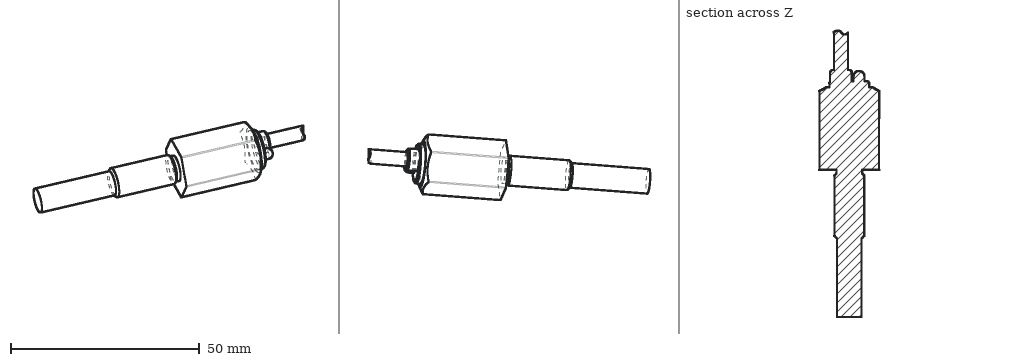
import cadquery as cq
import math

TOTAL_LENGTH = 75.95
TIP_Y = -TOTAL_LENGTH / 2
CABLE_END_Y = TOTAL_LENGTH / 2
THREAD_END_Y = -17.1
NUT_FRONT_Y = 1.1
NUT_BACK_Y = 23.0
FLANGE_BACK_Y = 24.6
COLLAR_BACK_Y = 27.6

ACROSS_FLATS = 14.0
CORNER_RADIUS = 0.4
NUT_FACE_DIAMETER = 12.3
NUT_CHAMFER_ANGLE = 30.0

PROBE_DIAMETER = 6.6
THREAD_DIAMETER = 8.0
NECK_DIAMETER = 7.0
NECK_LENGTH = 1.0
FLANGE_DIAMETER = 10.6
EDGE_CHAMFER = 0.45

CABLE_X = -2.2
CABLE_DIAMETER = 3.9
COLLAR_DIAMETER = 5.85

PIN_X = 2.6
PIN_DIAMETER = 3.0
PIN_DOME_Y = 25.8

CREST_OFFSET = 0.75
RIM_DEPTH = 0.45
CENTER_DEPTH = 0.3
DIP_OFFSET = 0.75
DIP_DEPTH = 1.0


def rod(diameter, start_y, end_y, x=0.0):
    """Cylinder along +Y between two positions."""
    plane = cq.Plane(origin=(x, start_y, 0), xDir=(1, 0, 0), normal=(0, 1, 0))
    return cq.Workplane(plane).circle(diameter / 2).extrude(end_y - start_y)


def make_nut():
    """Hexagonal body with rounded corners and a conical chamfer at the back."""
    corner_diameter = ACROSS_FLATS / math.cos(math.radians(30))
    hexagon = (
        cq.Workplane("XZ", origin=(0, NUT_FRONT_Y, 0))
        .polygon(6, corner_diameter)
        .extrude(NUT_FRONT_Y - NUT_BACK_Y)
        .edges("|Y")
        .fillet(CORNER_RADIUS)
    )
    chamfer_width = (corner_diameter - NUT_FACE_DIAMETER) / 2
    chamfer_length = chamfer_width * math.tan(math.radians(NUT_CHAMFER_ANGLE))
    envelope = (
        cq.Workplane("XY")
        .moveTo(0, NUT_FRONT_Y)
        .lineTo(corner_diameter / 2, NUT_FRONT_Y)
        .lineTo(corner_diameter / 2, NUT_BACK_Y - chamfer_length)
        .lineTo(NUT_FACE_DIAMETER / 2, NUT_BACK_Y)
        .lineTo(0, NUT_BACK_Y)
        .close()
        .revolve(360, (0, 0, 0), (0, 1, 0))
    )
    return hexagon.intersect(envelope)


def make_probe():
    """Sensing tip, chamfered threaded length and relief neck."""
    thread_back_y = NUT_FRONT_Y - NECK_LENGTH
    thread_chamfer = (THREAD_DIAMETER - NECK_DIAMETER) / 2
    tip_chamfer = (THREAD_DIAMETER - PROBE_DIAMETER) / 2
    thread = rod(THREAD_DIAMETER, THREAD_END_Y, thread_back_y)
    thread = thread.faces(">Y").chamfer(thread_chamfer)
    thread = thread.faces("<Y").chamfer(tip_chamfer)
    tip = rod(PROBE_DIAMETER, TIP_Y, THREAD_END_Y)
    neck = rod(NECK_DIAMETER, thread_back_y, NUT_FRONT_Y)
    return tip.union(thread).union(neck)


def make_cable():
    """Cable whose broken end is a crest followed by a dip."""
    radius = CABLE_DIAMETER / 2
    rim_y = CABLE_END_Y - RIM_DEPTH
    side_profile = (
        cq.Workplane("XY", origin=(CABLE_X, 0, -radius))
        .moveTo(-radius, COLLAR_BACK_Y)
        .lineTo(-radius, rim_y)
        .threePointArc((-CREST_OFFSET, CABLE_END_Y), (0, CABLE_END_Y - CENTER_DEPTH))
        .threePointArc((DIP_OFFSET, CABLE_END_Y - DIP_DEPTH), (radius, rim_y))
        .lineTo(radius, COLLAR_BACK_Y)
        .close()
        .extrude(CABLE_DIAMETER)
    )
    return rod(CABLE_DIAMETER, COLLAR_BACK_Y, CABLE_END_Y, CABLE_X).intersect(side_profile)


def make_pin():
    """Round pin with a hemispherical end."""
    dome = cq.Workplane("XY", origin=(PIN_X, PIN_DOME_Y, 0)).sphere(PIN_DIAMETER / 2)
    return rod(PIN_DIAMETER, NUT_BACK_Y, PIN_DOME_Y, PIN_X).union(dome)


flange = rod(FLANGE_DIAMETER, NUT_BACK_Y, FLANGE_BACK_Y).faces(">Y").chamfer(EDGE_CHAMFER)
collar = rod(COLLAR_DIAMETER, NUT_BACK_Y, COLLAR_BACK_Y, CABLE_X).faces(">Y").chamfer(EDGE_CHAMFER)

result = make_nut()
for feature in (make_probe(), flange, collar, make_cable(), make_pin()):
    result = result.union(feature)